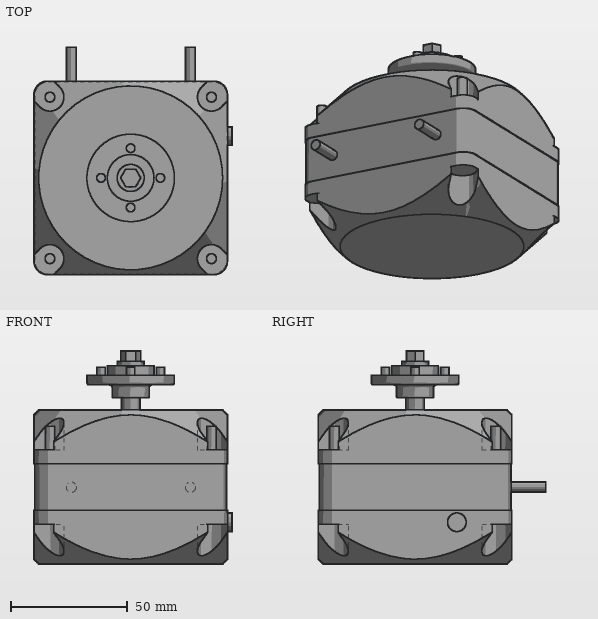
import cadquery as cq
import math

CAP_WIDTH = 83.0
CAP_HEIGHT = 23.0
MIDDLE_HEIGHT = 20.0
MIDDLE_INSET = 0.35
CORNER_RADIUS = 6.0
HOUSING_HEIGHT = 2 * CAP_HEIGHT + MIDDLE_HEIGHT
END_FACE_RADIUS = 39.4

POCKET_DEPTH = 17.0
POCKET_WIDTH = 12.0
POCKET_REACH = 20.0
STUD_OFFSET = 34.6
STUD_DIAMETER = 4.2
STUD_LENGTH = 10.0

SHAFT_DIAMETER = 8.0
SHAFT_LENGTH = 5.2
HUB_DIAMETER = 16.0
HUB_HEIGHT = 5.5
HUB_FILLET = 0.6
HUB_FLARE_RADIUS = 1.0
FLANGE_DIAMETER = 37.5
FLANGE_THICKNESS = 4.2
FLANGE_FILLET = 1.0
BOSS_DIAMETER = 20.0
BOSS_HEIGHT = 4.1
WASHER_DIAMETER = 11.6
WASHER_HEIGHT = 1.8
HEX_ACROSS_FLATS = 7.5
HEX_HEIGHT = 4.5
DRIVE_PIN_COUNT = 4
DRIVE_PIN_DIAMETER = 3.7
DRIVE_PIN_HEIGHT = 3.4
DRIVE_PIN_CIRCLE_RADIUS = 12.7

REAR_PIN_DIAMETER = 4.4
REAR_PIN_LENGTH = 14.5
REAR_PIN_X = 25.5
REAR_PIN_Z = HOUSING_HEIGHT / 2
PORT_DIAMETER = 8.0
PORT_LENGTH = 2.0
PORT_Y = 17.9
PORT_Z = 17.9

HUB_BASE = HOUSING_HEIGHT + SHAFT_LENGTH
FLANGE_BASE = HUB_BASE + HUB_HEIGHT
FLANGE_TOP = FLANGE_BASE + FLANGE_THICKNESS
BOSS_TOP = FLANGE_TOP + BOSS_HEIGHT
WASHER_TOP = BOSS_TOP + WASHER_HEIGHT


def cylinder(diameter, bottom, height, x=0.0, y=0.0):
    """Vertical cylinder standing on the level `bottom`."""
    return cq.Workplane("XY", origin=(x, y, bottom)).circle(diameter / 2).extrude(height)


def rounded_block(width, bottom, height, corner_radius):
    """Square block with rounded vertical edges."""
    block = cq.Workplane("XY", origin=(0, 0, bottom)).rect(width, width).extrude(height)
    return block.edges("|Z").fillet(corner_radius)


def end_cone_envelope():
    """Solid of revolution with 45 degree cones that bevel both ends of the housing."""
    half_height = HOUSING_HEIGHT / 2
    return (
        cq.Workplane("XZ")
        .moveTo(0, 0)
        .lineTo(END_FACE_RADIUS, 0)
        .lineTo(END_FACE_RADIUS + half_height, half_height)
        .lineTo(END_FACE_RADIUS, HOUSING_HEIGHT)
        .lineTo(0, HOUSING_HEIGHT)
        .close()
        .revolve(360, (0, 0, 0), (0, 1, 0))
    )


def corner_pocket(angle, bottom):
    """Round-ended slot that opens outward through a housing corner."""
    radius_to_stud = STUD_OFFSET * math.sqrt(2)
    slot = cq.Workplane("XY", origin=(0, 0, bottom)).center(radius_to_stud, 0)
    channel = slot.rect(POCKET_REACH, POCKET_WIDTH).extrude(POCKET_DEPTH)
    channel = channel.translate((POCKET_REACH / 2, 0, 0))
    round_end = cylinder(POCKET_WIDTH, bottom, POCKET_DEPTH, radius_to_stud)
    return channel.union(round_end).rotate((0, 0, 0), (0, 0, 1), angle)


def housing():
    middle_width = CAP_WIDTH - 2 * MIDDLE_INSET
    middle_radius = CORNER_RADIUS - MIDDLE_INSET
    upper_cap_base = CAP_HEIGHT + MIDDLE_HEIGHT
    pocket_floor = HOUSING_HEIGHT - POCKET_DEPTH
    body = rounded_block(CAP_WIDTH, 0, CAP_HEIGHT, CORNER_RADIUS)
    body = body.union(rounded_block(middle_width, CAP_HEIGHT, MIDDLE_HEIGHT, middle_radius))
    body = body.union(rounded_block(CAP_WIDTH, upper_cap_base, CAP_HEIGHT, CORNER_RADIUS))
    body = body.intersect(end_cone_envelope())
    for angle in (45, 135, 225, 315):
        body = body.cut(corner_pocket(angle, 0))
        body = body.cut(corner_pocket(angle, pocket_floor))
    for x in (-STUD_OFFSET, STUD_OFFSET):
        for y in (-STUD_OFFSET, STUD_OFFSET):
            body = body.union(cylinder(STUD_DIAMETER, pocket_floor, STUD_LENGTH, x, y))
    return body


def flared_hub():
    """Hub with a rounded lower rim and a concave flare where it meets the flange."""
    radius = HUB_DIAMETER / 2
    rim_offset = HUB_FILLET * (1 - math.sqrt(0.5))
    flare_offset = HUB_FLARE_RADIUS * (1 - math.sqrt(0.5))
    flare_start = (radius, FLANGE_BASE - HUB_FLARE_RADIUS)
    flare_middle = (radius + flare_offset, FLANGE_BASE - flare_offset)
    flare_end = (radius + HUB_FLARE_RADIUS, FLANGE_BASE)
    return (
        cq.Workplane("XZ")
        .moveTo(0, HUB_BASE)
        .lineTo(radius - HUB_FILLET, HUB_BASE)
        .threePointArc((radius - rim_offset, HUB_BASE + rim_offset), (radius, HUB_BASE + HUB_FILLET))
        .lineTo(*flare_start)
        .threePointArc(flare_middle, flare_end)
        .lineTo(0, FLANGE_BASE)
        .close()
        .revolve(360, (0, 0, 0), (0, 1, 0))
    )


def coupling():
    """Shaft, hub, pinned flange, boss, washer and hexagonal head."""
    flange = cylinder(FLANGE_DIAMETER, FLANGE_BASE, FLANGE_THICKNESS)
    flange = flange.faces("<Z").edges().fillet(FLANGE_FILLET)
    hex_corner_diameter = HEX_ACROSS_FLATS / math.cos(math.pi / 6)
    hex_plane = cq.Workplane("XY", origin=(0, 0, WASHER_TOP))
    hex_head = hex_plane.polygon(6, hex_corner_diameter).extrude(HEX_HEIGHT)

    stack = cylinder(SHAFT_DIAMETER, HOUSING_HEIGHT, SHAFT_LENGTH).union(flared_hub()).union(flange)
    stack = stack.union(cylinder(BOSS_DIAMETER, FLANGE_TOP, BOSS_HEIGHT))
    stack = stack.union(cylinder(WASHER_DIAMETER, BOSS_TOP, WASHER_HEIGHT)).union(hex_head)
    for index in range(DRIVE_PIN_COUNT):
        angle = 2 * math.pi * index / DRIVE_PIN_COUNT
        x = DRIVE_PIN_CIRCLE_RADIUS * math.cos(angle)
        y = DRIVE_PIN_CIRCLE_RADIUS * math.sin(angle)
        stack = stack.union(cylinder(DRIVE_PIN_DIAMETER, FLANGE_TOP, DRIVE_PIN_HEIGHT, x, y))
    return stack


def rear_pin(x):
    """Pin standing out of the +Y side, rooted in the inset middle section."""
    root_y = CAP_WIDTH / 2 - MIDDLE_INSET
    pin = cq.Workplane("XZ", origin=(x, root_y, REAR_PIN_Z)).circle(REAR_PIN_DIAMETER / 2)
    return pin.extrude(-(REAR_PIN_LENGTH + MIDDLE_INSET))


def side_port():
    """Short round port on the +X side of the lower cap."""
    port = cq.Workplane("YZ", origin=(CAP_WIDTH / 2, PORT_Y, PORT_Z)).circle(PORT_DIAMETER / 2)
    return port.extrude(PORT_LENGTH)


result = housing().union(coupling()).union(side_port())
for pin_x in (-REAR_PIN_X, REAR_PIN_X):
    result = result.union(rear_pin(pin_x))